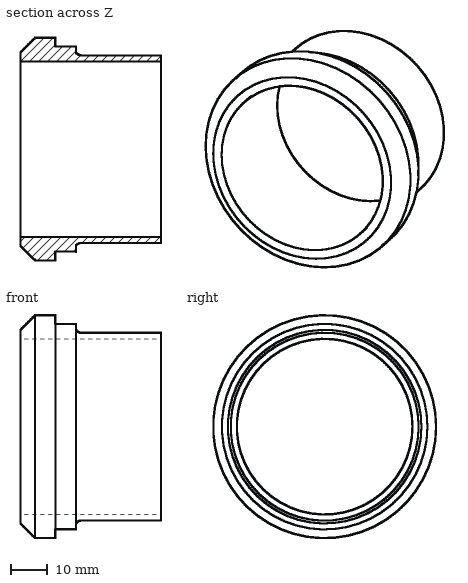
import cadquery as cq
import math

total_length = 38.1
bore_diameter = 47.5
tube_diameter = 50.9
collar_diameter = 55.7
flange_diameter = 60.45
nose_chamfer = 4.0
flange_end = 9.5
collar_end = 15.05
neck_length = 1.6
neck_radius = 2.0

bore_radius = bore_diameter / 2
tube_radius = tube_diameter / 2
collar_radius = collar_diameter / 2
flange_radius = flange_diameter / 2

neck_end = collar_end + neck_length
neck_center_height = tube_radius + neck_radius


def neck_height(x):
    """Distance of the neck arc from the ring's axis at position x."""
    return neck_center_height - math.sqrt(neck_radius**2 - (neck_end - x) ** 2)


neck_start = (collar_end, neck_height(collar_end))
neck_middle_x = collar_end + neck_length / 2
neck_middle = (neck_middle_x, neck_height(neck_middle_x))

half_section = (
    cq.Workplane("XY")
    .moveTo(0, bore_radius)
    .lineTo(0, flange_radius - nose_chamfer)
    .lineTo(nose_chamfer, flange_radius)
    .lineTo(flange_end, flange_radius)
    .lineTo(flange_end, collar_radius)
    .lineTo(collar_end, collar_radius)
    .lineTo(*neck_start)
    .threePointArc(neck_middle, (neck_end, tube_radius))
    .lineTo(total_length, tube_radius)
    .lineTo(total_length, bore_radius)
    .close()
)

result = half_section.revolve(360, (0, 0, 0), (1, 0, 0))